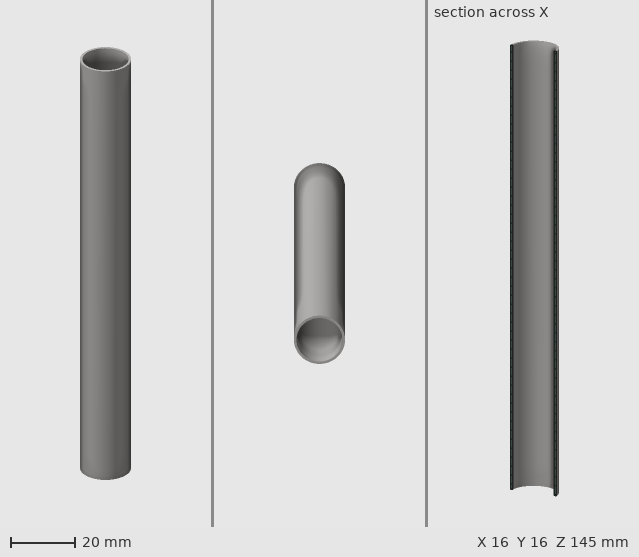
import cadquery as cq

length = 145.0
outer_diameter = 16.0
wall_thickness = 0.8
inner_diameter = outer_diameter - 2 * wall_thickness

result = (
    cq.Workplane("XY")
    .circle(outer_diameter / 2)
    .circle(inner_diameter / 2)
    .extrude(length)
)